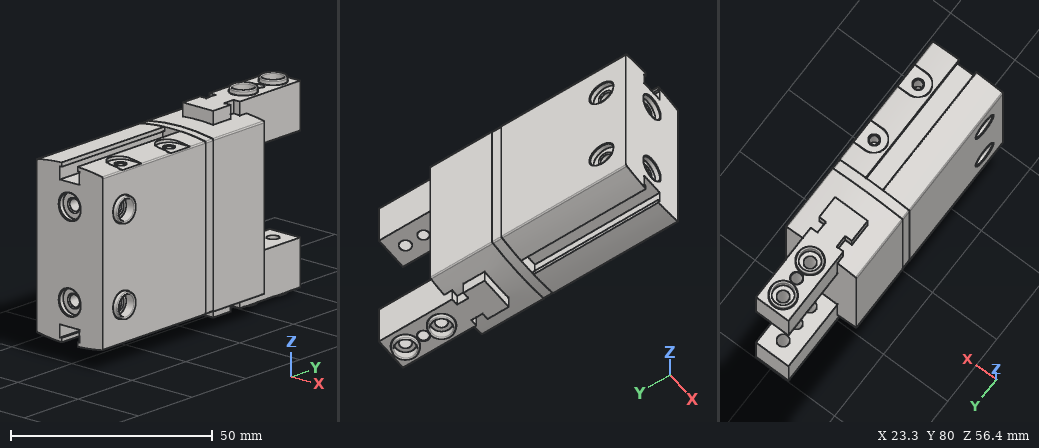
import cadquery as cq


OVERALL_HEIGHT = 56.4

HOUSING_WIDTH = 22.0
HOUSING_LENGTH = 60.0
HOUSING_HEIGHT = 47.0
SIDE_HEIGHT = 45.1
CORNER_RADIUS = 0.4

BAND_START = 38.2
BAND_WIDTH = 2.8
BAND_DEPTH = 0.1

SLOT_WIDTH = 6.5
SLOT_MOUTH = 5.3
SLOT_FLOOR = 18.9
SLOT_LIP = 22.3

MOUNT_PITCH = 25.0
SIDE_MOUNT_Y = 7.5
MOUNT_BORE = 3.3
MOUNT_MOUTH = 4.0
MOUNT_SEAT_DEPTH = 1.5

PORT_X = 7.0
PORT_YS = (11.0, 29.0)
PORT_BORE = 2.5
PORT_MOUTH = 3.0
PORT_DEPTH = 6.4
PORT_FLAT_WIDTH = 7.0
PORT_FLAT_Z = 22.6

JAW_WIDTH = 10.2
JAW_END = 80.0
JAW_START = 47.6
JAW_OUTER = 27.0
JAW_INNER = 13.9
NOTCH_START = 54.1
NOTCH_END = 57.5
NECK_WIDTH = 6.0
JAW_SCREW_BORE = 3.3
JAW_SEAT_DEPTH = 1.3
JAW_PIN_BORE = 3.0
JAW_PIN_MOUTH = 3.4
JAW_PIN_Y = 70.0
JAW_SLEEVE_OFFSET = 5.5

SLEEVE_DIAMETER = 7.0
SLEEVE_BORE = 5.8
SEAT_MOUTH = 7.4
JAW_SLEEVE_HEIGHT = OVERALL_HEIGHT / 2 - JAW_OUTER
SIDE_SLEEVE_HEIGHT = 1.3

HALF_WIDTH = HOUSING_WIDTH / 2
MOUNT_ZS = (-MOUNT_PITCH / 2, MOUNT_PITCH / 2)
SLEEVE_YS = (JAW_PIN_Y - JAW_SLEEVE_OFFSET, JAW_PIN_Y + JAW_SLEEVE_OFFSET)


def housing_block(start, length, inset):
    """Length of the housing profile along Y, moved inwards all round by the inset."""
    side = HALF_WIDTH - inset
    edge = SIDE_HEIGHT / 2 - inset
    crown = HOUSING_HEIGHT / 2 - inset
    return (
        cq.Workplane("XZ", origin=(0, start, 0))
        .moveTo(-side, -edge)
        .threePointArc((0, -crown), (side, -edge))
        .lineTo(side, edge)
        .threePointArc((0, crown), (-side, edge))
        .close()
        .extrude(-length)
        .edges("|Y")
        .fillet(CORNER_RADIUS)
    )


def box_between(x, y, z):
    """Box spanning three (low, high) ranges."""
    sizes = [high - low for low, high in (x, y, z)]
    return cq.Workplane("XY").box(*sizes, centered=False).translate((x[0], y[0], z[0]))


def drill(point, direction, diameter, depth):
    """Cylinder from a point along a direction."""
    return cq.Workplane(cq.Solid.makeCylinder(diameter / 2, depth, cq.Vector(*point), cq.Vector(*direction)))


def countersink(point, direction, mouth, bore):
    """45 degree cone from the mouth diameter down to the bore."""
    depth = (mouth - bore) / 2
    return cq.Workplane(
        cq.Solid.makeCone(mouth / 2, bore / 2, depth, cq.Vector(*point), cq.Vector(*direction))
    )


def t_slot():
    """T-slot of the upper face, from the mounting face to the band."""
    channel = box_between((-SLOT_WIDTH / 2, SLOT_WIDTH / 2), (0, BAND_START), (SLOT_FLOOR, SLOT_LIP))
    mouth = box_between((-SLOT_MOUTH / 2, SLOT_MOUTH / 2), (0, BAND_START), (SLOT_FLOOR, HOUSING_HEIGHT))
    return channel.union(mouth)


def air_port(y):
    """Port bore with a countersunk mouth in a D-shaped flat that is open to the +X side."""
    flat = drill((PORT_X, y, PORT_FLAT_Z), (0, 0, 1), PORT_FLAT_WIDTH, HOUSING_HEIGHT)
    half = PORT_FLAT_WIDTH / 2
    opening = box_between((PORT_X, HOUSING_WIDTH), (y - half, y + half), (PORT_FLAT_Z, HOUSING_HEIGHT))
    bore = drill((PORT_X, y, PORT_FLAT_Z), (0, 0, -1), PORT_BORE, PORT_DEPTH)
    mouth = countersink((PORT_X, y, PORT_FLAT_Z), (0, 0, -1), PORT_MOUTH, PORT_BORE)
    return flat.union(opening).union(bore).union(mouth)


def sleeve_seat(point, direction, depth):
    """Counterbore that holds a centring sleeve, with a countersunk rim."""
    counterbore = drill(point, direction, SLEEVE_DIAMETER, depth)
    return counterbore.union(countersink(point, direction, SEAT_MOUTH, SLEEVE_DIAMETER))


def mounting_seat(point, direction):
    """Sleeve seat with the countersunk start of the mounting bore in its floor."""
    floor = tuple(p + MOUNT_SEAT_DEPTH * d for p, d in zip(point, direction))
    seat = sleeve_seat(point, direction, MOUNT_SEAT_DEPTH)
    return seat.union(countersink(floor, direction, MOUNT_MOUTH, MOUNT_BORE))


def mounting_holes(z):
    """Cross bore through both sides, met by the bore from the mounting face."""
    cross_bore = drill((-HALF_WIDTH, SIDE_MOUNT_Y, z), (1, 0, 0), MOUNT_BORE, HOUSING_WIDTH)
    face_bore = drill((0, 0, z), (0, 1, 0), MOUNT_BORE, SIDE_MOUNT_Y)
    return (
        cross_bore.union(face_bore)
        .union(mounting_seat((-HALF_WIDTH, SIDE_MOUNT_Y, z), (1, 0, 0)))
        .union(mounting_seat((HALF_WIDTH, SIDE_MOUNT_Y, z), (-1, 0, 0)))
        .union(mounting_seat((0, 0, z), (0, 1, 0)))
    )


def jaw_blank():
    """Upper jaw without its bores; the two notches run its full height."""
    half = JAW_WIDTH / 2
    neck = NECK_WIDTH / 2
    height = (JAW_INNER, JAW_OUTER)
    blank = box_between((-half, half), (JAW_START, JAW_END), height)
    for near, far in ((-half, -neck), (neck, half)):
        blank = blank.cut(box_between((near, far), (NOTCH_START, NOTCH_END), height))
    return blank


def make_housing():
    band_end = BAND_START + BAND_WIDTH
    body = (
        housing_block(0, BAND_START, 0)
        .union(housing_block(BAND_START, BAND_WIDTH, BAND_DEPTH))
        .union(housing_block(band_end, HOUSING_LENGTH - band_end, 0))
    )
    for upper_recess in (t_slot(), jaw_blank()):
        body = body.cut(upper_recess).cut(upper_recess.mirror("XY"))
    for y in PORT_YS:
        body = body.cut(air_port(y))
    for z in MOUNT_ZS:
        body = body.cut(mounting_holes(z))
    return body


def make_jaw():
    """Upper jaw: its tail slides in the housing and its finger carries two sleeves and a pin bore."""
    thickness = JAW_OUTER - JAW_INNER
    up = (0, 0, 1)
    down = (0, 0, -1)
    jaw = jaw_blank()
    for y in SLEEVE_YS:
        jaw = jaw.cut(drill((0, y, JAW_INNER), up, JAW_SCREW_BORE, thickness))
        jaw = jaw.cut(sleeve_seat((0, y, JAW_OUTER), down, JAW_SEAT_DEPTH))
    jaw = jaw.cut(drill((0, JAW_PIN_Y, JAW_INNER), up, JAW_PIN_BORE, thickness))
    return jaw.cut(countersink((0, JAW_PIN_Y, JAW_OUTER), down, JAW_PIN_MOUTH, JAW_PIN_BORE))


def make_sleeve(seat_depth, standout):
    """Sleeve along Z that fills a seat below Z = 0 and stands out above it with a rounded rim."""
    outer = SLEEVE_DIAMETER / 2
    inner = SLEEVE_BORE / 2
    rim_radius = (outer - inner) / 2
    rim_start = standout - rim_radius
    return (
        cq.Workplane("XZ")
        .moveTo(inner, -seat_depth)
        .lineTo(outer, -seat_depth)
        .lineTo(outer, rim_start)
        .threePointArc((outer - rim_radius, standout), (inner, rim_start))
        .close()
        .revolve(360, (0, 0, 0), (0, 1, 0))
    )


housing = make_housing()

upper_jaw = make_jaw()
jaws = [upper_jaw, upper_jaw.mirror("XY")]

jaw_sleeves = []
for y in SLEEVE_YS:
    upper_sleeve = make_sleeve(JAW_SEAT_DEPTH, JAW_SLEEVE_HEIGHT).translate((0, y, JAW_OUTER))
    jaw_sleeves += [upper_sleeve, upper_sleeve.mirror("XY")]

side_sleeves = []
for z in MOUNT_ZS:
    side_sleeve = make_sleeve(MOUNT_SEAT_DEPTH, SIDE_SLEEVE_HEIGHT).rotate((0, 0, 0), (0, 1, 0), 90)
    side_sleeves.append(side_sleeve.translate((HALF_WIDTH, SIDE_MOUNT_Y, z)))

bodies = [housing, *jaws, *jaw_sleeves, *side_sleeves]
result = cq.Compound.makeCompound([body.val() for body in bodies])